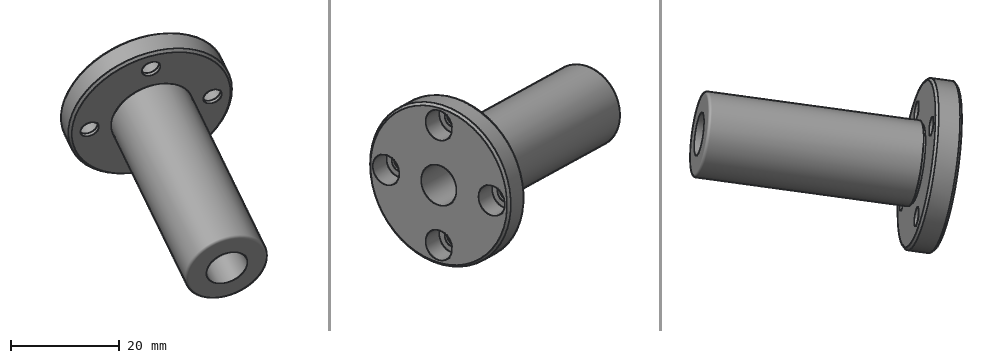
import cadquery as cq

total_length = 46.0
flange_diameter = 32.0
flange_thickness = 5.0
sleeve_diameter = 16.0
bore_diameter = 8.0
flange_chamfer = 0.5
sleeve_end_radius = 0.55

groove_diameter = 14.9
groove_width = 0.5

bolt_circle_diameter = 2 * 12.0
bolt_count = 4
bolt_hole_diameter = 3.6
counterbore_diameter = 6.0
counterbore_depth = 4.3


def cylinder(start, length, diameter):
    """Cylinder about the X axis, beginning at x = start."""
    return cq.Workplane("YZ", origin=(start, 0, 0)).circle(diameter / 2).extrude(length)


def drill_mounting_holes(body):
    """Counterbored holes around the flange, sunk from its outer face."""
    return (
        body.faces("<X")
        .workplane(origin=(0, 0, 0))
        .polarArray(bolt_circle_diameter / 2, 0, 360, bolt_count)
        .cboreHole(bolt_hole_diameter, counterbore_diameter, counterbore_depth, flange_thickness)
    )


flange = cylinder(0, flange_thickness, flange_diameter).edges().chamfer(flange_chamfer)
flange = drill_mounting_holes(flange)

neck = cylinder(flange_thickness, groove_width, groove_diameter)
sleeve_start = flange_thickness + groove_width
sleeve = cylinder(sleeve_start, total_length - sleeve_start, sleeve_diameter)
sleeve = sleeve.faces(">X").edges().fillet(sleeve_end_radius)

bore = cylinder(0, total_length, bore_diameter)
result = flange.union(neck).union(sleeve).cut(bore)